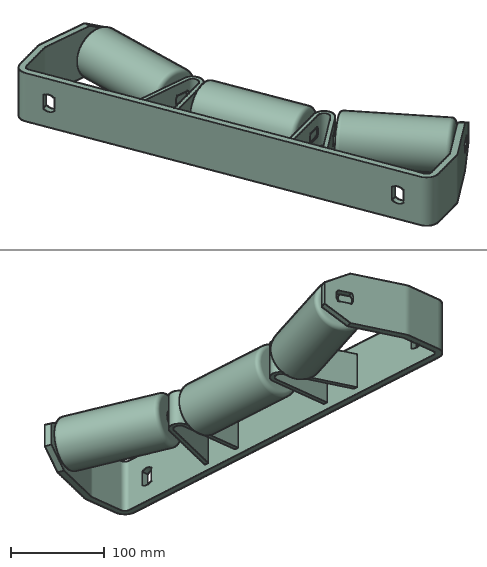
import cadquery as cq
import math

LENGTH = 500.0
TILT = 20.0

FRAME_T = 8.0
FRAME_HEIGHT = 60.0
FRAME_BEND = 14.0
ARM_BEND_Y = 56.0
ARM_TIP_Y = 149.0
TIP_FLAT = 26.0
TIP_CUT = 30.0
MOUNT_HOLE_X = 208.5
MOUNT_HOLE_DIA = 21.0
MOUNT_HOLE_FLATS = 13.5

BRACKET_T = 5.0
BRACKET_HEIGHT = 40.0
BRACKET_BEND = 12.0
BRACKET_BEND_Y = 82.0
BRACKET_FACE_X = 66.5

ROLLER_DIA = 60.0
ROLLER_LENGTH = 125.0
ROLLER_FILLET = 5.0
ROLLER_Y = 71.0
AXLE_DIA = 16.0
AXLE_FLATS = 10.0
AXLE_SHOULDER = 3.0

SLOT_DIA = 20.0
SLOT_FLATS = 13.0
SLOT_FROM_TIP = 23.5
AXLE_PLAY = 1.5

ROLLER_Z = -2.0
BRACKET_Z = -2.0
AXLE_Z = -1.0

OUTER_X = -LENGTH / 2
CUTTER_LENGTH = 4 * FRAME_T
TILT_RAD = math.radians(TILT)
UP_ARM = cq.Vector(math.sin(TILT_RAD), math.cos(TILT_RAD))
INWARD = cq.Vector(math.cos(TILT_RAD), -math.sin(TILT_RAD))

CORNER_CENTRE = cq.Vector(OUTER_X + FRAME_BEND, FRAME_BEND)
ARM_BEND_CENTRE = cq.Vector(OUTER_X + FRAME_BEND, ARM_BEND_Y)
ARM_FOOT = ARM_BEND_CENTRE - INWARD * FRAME_BEND
ARM_TIP = ARM_FOOT + UP_ARM * ((ARM_TIP_Y - ARM_FOOT.y) / UP_ARM.y)
FOLD_CENTRE = cq.Vector(-BRACKET_FACE_X - BRACKET_BEND, BRACKET_BEND_Y)

ARM_SLOT = ARM_TIP - UP_ARM * SLOT_FROM_TIP + INWARD * FRAME_T
SIDE_SPAN = (FOLD_CENTRE - ARM_SLOT).dot(INWARD) - BRACKET_BEND
SIDE_CENTRE = ARM_SLOT + INWARD * (SIDE_SPAN / 2) - UP_ARM * AXLE_PLAY
SLOPE_SLOT = ARM_SLOT + INWARD * SIDE_SPAN + cq.Vector(0, 0, BRACKET_Z)
MIDDLE_CENTRE = cq.Vector(0, ROLLER_Y)
UPRIGHT_SLOT = cq.Vector(-BRACKET_FACE_X, ROLLER_Y + AXLE_PLAY, BRACKET_Z)
AXLE_LENGTH = SIDE_SPAN + 2 * BRACKET_T


def xy(vector):
    return (vector.x, vector.y)


def polar(centre, radius, degrees):
    """Point on a circle in the XY plane."""
    angle = math.radians(degrees)
    return (centre.x + radius * math.cos(angle), centre.y + radius * math.sin(angle))


def placed(body, centre, angle):
    """Turn a body about Z, then move its origin to the centre."""
    return body.rotate((0, 0, 0), (0, 0, 1), angle).translate(centre)


def rod(diameter, length):
    """Cylinder along X, centred on the origin."""
    return cq.Workplane("YZ", origin=(-length / 2, 0, 0)).circle(diameter / 2).extrude(length)


def double_d(diameter, flats, length):
    """Rod along X with flats facing up and down."""
    return rod(diameter, length).intersect(cq.Workplane("XY").box(length, diameter, flats))


def axle_slot(centre, angle):
    return placed(double_d(SLOT_DIA, SLOT_FLATS, CUTTER_LENGTH), centre, angle)


def half_strip():
    """Left half of the bent strip, closed along the middle plane."""
    inner_bend = FRAME_BEND - FRAME_T
    corner_mid = 225
    arm_mid = 180 - TILT / 2
    return (
        cq.Workplane("XY", origin=(0, 0, -FRAME_HEIGHT / 2))
        .lineTo(CORNER_CENTRE.x, 0)
        .threePointArc(polar(CORNER_CENTRE, FRAME_BEND, corner_mid), (OUTER_X, FRAME_BEND))
        .lineTo(OUTER_X, ARM_BEND_Y)
        .threePointArc(polar(ARM_BEND_CENTRE, FRAME_BEND, arm_mid), xy(ARM_FOOT))
        .lineTo(*xy(ARM_TIP))
        .lineTo(*xy(ARM_TIP + INWARD * FRAME_T))
        .lineTo(*xy(ARM_FOOT + INWARD * FRAME_T))
        .threePointArc(polar(ARM_BEND_CENTRE, inner_bend, arm_mid), (OUTER_X + FRAME_T, ARM_BEND_Y))
        .lineTo(OUTER_X + FRAME_T, FRAME_BEND)
        .threePointArc(polar(CORNER_CENTRE, inner_bend, corner_mid), (CORNER_CENTRE.x, FRAME_T))
        .lineTo(0, FRAME_T)
        .close()
        .extrude(FRAME_HEIGHT)
    )


def tip_corner_cutter(side):
    """Wedge that trims the upper (side = 1) or lower (side = -1) corner of the arm tip."""
    edge = side * FRAME_HEIGHT / 2
    wedge = (
        cq.Workplane("YZ")
        .polyline([(0, edge), (0, side * TIP_FLAT / 2), (-TIP_CUT, edge)])
        .close()
        .extrude(CUTTER_LENGTH / 2, both=True)
    )
    return placed(wedge, ARM_TIP, -TILT)


def mount_hole():
    """Double-D cutter through the base, with its long size along Z."""
    bar = double_d(MOUNT_HOLE_DIA, MOUNT_HOLE_FLATS, CUTTER_LENGTH)
    return placed(bar.rotate((0, 0, 0), (1, 0, 0), 90), cq.Vector(-MOUNT_HOLE_X, 0), 90)


def make_frame():
    half = half_strip().cut(axle_slot(ARM_SLOT, -TILT)).cut(mount_hole())
    for side in (1, -1):
        half = half.cut(tip_corner_cutter(side))
    return half.union(half.mirror("YZ"))


def slope_foot(radius):
    """Where a face of the sloping leg, tangent to the fold at this radius, meets the base."""
    start = cq.Vector(*polar(FOLD_CENTRE, radius, 180 - TILT))
    return xy(start - UP_ARM * ((start.y - FRAME_T) / UP_ARM.y))


def make_left_bracket():
    """Folded strip standing on the base, slotted for the axles of both neighbouring rollers."""
    inner_bend = BRACKET_BEND - BRACKET_T
    outer_face = -BRACKET_FACE_X
    inner_face = outer_face - BRACKET_T
    fold_mid = 90 - TILT / 2
    fold_end = 180 - TILT
    bracket = (
        cq.Workplane("XY", origin=(0, 0, BRACKET_Z - BRACKET_HEIGHT / 2))
        .moveTo(outer_face, FRAME_T)
        .lineTo(outer_face, BRACKET_BEND_Y)
        .threePointArc(polar(FOLD_CENTRE, BRACKET_BEND, fold_mid), polar(FOLD_CENTRE, BRACKET_BEND, fold_end))
        .lineTo(*slope_foot(BRACKET_BEND))
        .lineTo(*slope_foot(inner_bend))
        .lineTo(*polar(FOLD_CENTRE, inner_bend, fold_end))
        .threePointArc(polar(FOLD_CENTRE, inner_bend, fold_mid), (inner_face, BRACKET_BEND_Y))
        .lineTo(inner_face, FRAME_T)
        .close()
        .extrude(BRACKET_HEIGHT)
    )
    return bracket.cut(axle_slot(UPRIGHT_SLOT, 0)).cut(axle_slot(SLOPE_SLOT, -TILT))


def make_roller(centre, angle):
    """Roller with its axle: round just past the roller ends, flattened where it enters the slots."""
    drum = rod(ROLLER_DIA, ROLLER_LENGTH).edges().fillet(ROLLER_FILLET).translate((0, 0, ROLLER_Z))
    round_axle = rod(AXLE_DIA, ROLLER_LENGTH + 2 * AXLE_SHOULDER)
    flat_axle = double_d(AXLE_DIA, AXLE_FLATS, AXLE_LENGTH)
    axle = round_axle.union(flat_axle).translate((0, 0, AXLE_Z))
    return placed(drum.union(axle), centre, angle)


frame = make_frame()
left_bracket = make_left_bracket()
left_roller = make_roller(SIDE_CENTRE, -TILT)
middle_roller = make_roller(MIDDLE_CENTRE, 0)
brackets = [left_bracket, left_bracket.mirror("YZ")]
rollers = [left_roller, middle_roller, left_roller.mirror("YZ")]

result = cq.Compound.makeCompound([frame.val()] + [body.val() for body in brackets + rollers])